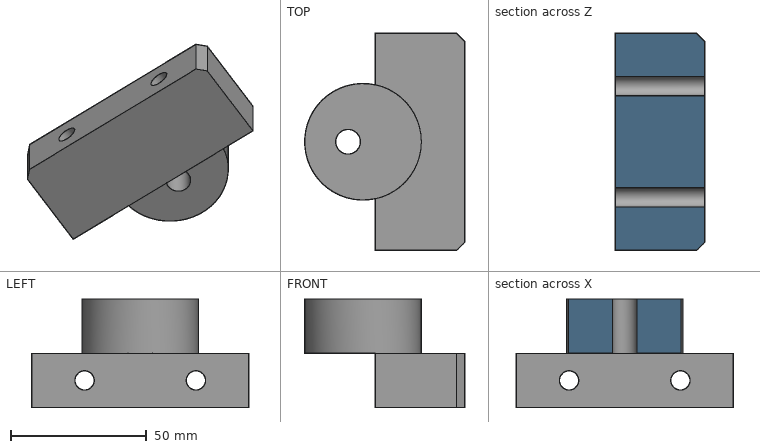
import cadquery as cq

block_width = 33.0
block_length = 80.0
block_height = 20.0
corner_chamfer = 3.0

cross_hole_diameter = 7.0
cross_hole_spacing = 41.0

disc_diameter = 43.0
disc_height = 20.0
bore_diameter = 9.0
bore_offset = 5.5

overall_width = 59.0
block_max_x = overall_width - disc_diameter / 2
block_min_x = block_max_x - block_width


def make_block():
    block = cq.Workplane("XY").box(
        block_width, block_length, block_height, centered=(False, True, False)
    )
    block = block.edges("|Z and >X").chamfer(corner_chamfer)
    return block.translate((block_min_x, 0, 0))


def make_disc():
    return (
        cq.Workplane("XY", origin=(0, 0, block_height))
        .circle(disc_diameter / 2)
        .extrude(disc_height)
    )


def make_bore():
    return (
        cq.Workplane("XY")
        .center(-bore_offset, 0)
        .circle(bore_diameter / 2)
        .extrude(block_height + disc_height)
    )


def make_cross_holes():
    half_spacing = cross_hole_spacing / 2
    return (
        cq.Workplane("YZ", origin=(block_min_x, 0, block_height / 2))
        .pushPoints([(-half_spacing, 0), (half_spacing, 0)])
        .circle(cross_hole_diameter / 2)
        .extrude(block_width)
    )


result = make_block().union(make_disc()).cut(make_bore()).cut(make_cross_holes())